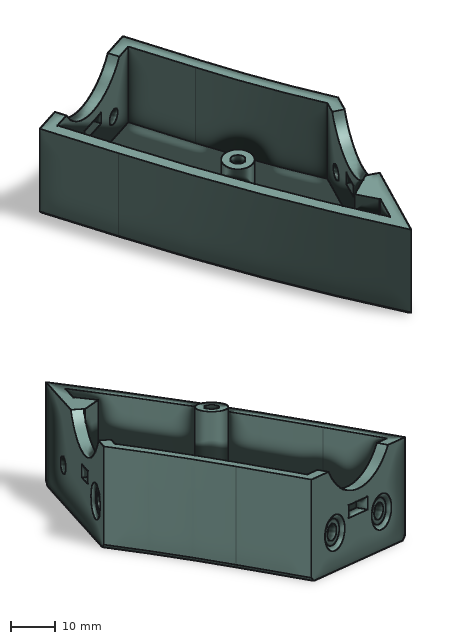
import cadquery as cq
import math

wall_height = 24.05
post_top = 26.0
wall_thickness = 3.0
floor_thickness = wall_thickness
bottom_chamfer = 1.0
long_side_alignment = 0.8

end_left = (0.0, 28.2)
end_right = (28.5, 0.0)
tip = (89.7, 69.0)
top_left = (36.4, 67.8)
straight_length = 20.0

notch_radius = 15.0
notch_center_z = wall_height + 7.9
end_key_width = 8.0
top_key_width = 5.4
key_height = 3.05
key_z = 12.6
screw_spacing = 20.0
screw_z = 9.1
screw_radius = 2.0
sink_radius = 4.2
sink_floor_radius = 3.1
sink_depth = 0.8
wall_overcut = 0.2
wall_cut_depth = wall_thickness + wall_overcut
cutter_length = 4.5
block_hole_length = 17.9
top_center_distance = 17.6

block_root = (66.7, 65.2)
block_peak = (73.0, 60.7)
block_end = (76.35, 65.5)
block_overlap = 1.35

post_center = (55.3, 38.6)
post_radius = 3.8
post_hole_radius = 1.7
post_hole_end_radius = 1.35


def unit_vector(start, end):
    length = math.dist(start, end)
    return ((end[0] - start[0]) / length, (end[1] - start[1]) / length)


def along(start, direction, distance):
    return (start[0] + direction[0] * distance, start[1] + direction[1] * distance)


end_direction = unit_vector(end_left, end_right)
side_direction = (-end_direction[1], end_direction[0])
top_direction = unit_vector(top_left, tip)


def arc_middle(start, end, tangent):
    """Middle point of the arc leaving start along tangent and reaching end."""
    chord = math.dist(start, end)
    chord_direction = unit_vector(start, end)
    cross = tangent[0] * chord_direction[1] - tangent[1] * chord_direction[0]
    rise = chord / 2 * math.tan(math.asin(cross) / 2)
    middle = along(start, chord_direction, chord / 2)
    return along(middle, (chord_direction[1], -chord_direction[0]), rise)


def outline():
    right_bend = along(end_right, side_direction, straight_length)
    left_bend = along(end_left, side_direction, straight_length)
    return (
        cq.Workplane("XY")
        .moveTo(*end_left)
        .lineTo(*end_right)
        .lineTo(*right_bend)
        .threePointArc(arc_middle(right_bend, tip, side_direction), tip)
        .lineTo(*top_left)
        .threePointArc(arc_middle(left_bend, top_left, side_direction), left_bend)
        .close()
    )


def tray():
    body = outline().extrude(wall_height)
    long_sides = [
        edge for edge in body.faces("<Z").edges().vals()
        if edge.tangentAt(0.5).dot(cq.Vector(*side_direction)) ** 2 > long_side_alignment
    ]
    body = body.newObject(long_sides).chamfer(bottom_chamfer)
    cavity = (
        outline().offset2D(-wall_thickness).extrude(wall_height)
        .translate((0, 0, floor_thickness))
    )
    return body.cut(cavity)


def corner_block():
    return (
        cq.Workplane("XY")
        .moveTo(block_root[0], block_root[1] + block_overlap)
        .lineTo(*block_root)
        .lineTo(*block_peak)
        .lineTo(*block_end)
        .lineTo(block_end[0], block_end[1] + block_overlap)
        .close()
        .extrude(wall_height)
    )


def connection_cutter(center, direction, key_width, screw_offsets):
    """Notch, key slot and countersunk holes; direction has the part on its left."""
    plane = cq.Plane(
        origin=(center[0], center[1], 0),
        xDir=(direction[0], direction[1], 0),
        normal=(direction[1], -direction[0], 0),
    )
    face = cq.Workplane(plane)
    notch = face.center(0, notch_center_z).circle(notch_radius).extrude(-wall_cut_depth)
    key = face.center(0, key_z).rect(key_width, key_height).extrude(-wall_cut_depth)
    cutter = notch.union(key)
    for offset in screw_offsets:
        screw = face.center(offset, screw_z)
        hole = screw.circle(screw_radius).extrude(-cutter_length)
        sink = (
            screw.circle(sink_radius)
            .workplane(offset=-sink_depth)
            .circle(sink_floor_radius)
            .loft()
        )
        cutter = cutter.union(hole).union(sink)
    return cutter


def block_hole():
    """Plain screw hole square to the inner face of the block."""
    direction = unit_vector(block_root, block_peak)
    middle = along(block_root, direction, math.dist(block_root, block_peak) / 2)
    plane = cq.Plane(
        origin=(*middle, screw_z),
        xDir=(*direction, 0),
        normal=(-direction[1], direction[0], 0),
    )
    return cq.Workplane(plane).circle(screw_radius).extrude(block_hole_length)


def post():
    return (
        cq.Workplane("XY")
        .center(*post_center)
        .circle(post_radius)
        .extrude(post_top)
    )


def post_hole():
    return (
        cq.Workplane("XY", origin=(*post_center, post_top))
        .circle(post_hole_radius)
        .workplane(offset=floor_thickness - post_top)
        .circle(post_hole_end_radius)
        .loft()
    )


end_center = along(end_left, end_direction, math.dist(end_left, end_right) / 2)
top_center = along(top_left, top_direction, top_center_distance)
toward_left = (-top_direction[0], -top_direction[1])

end_screws = (-screw_spacing / 2, screw_spacing / 2)
top_screws = (screw_spacing / 2,)

result = (
    tray()
    .union(corner_block())
    .union(post())
    .cut(connection_cutter(end_center, end_direction, end_key_width, end_screws))
    .cut(connection_cutter(top_center, toward_left, top_key_width, top_screws))
    .cut(block_hole())
    .cut(post_hole())
)